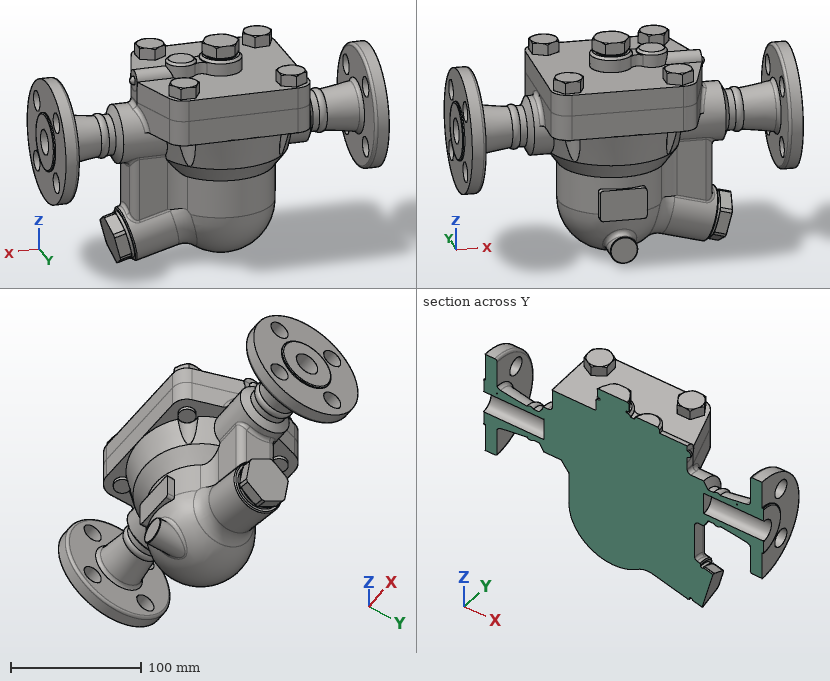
import cadquery as cq
import math


connection_mid_x = 10.0
end_to_end = 264.0
pipe_radius = 16.0
bore_diameter = 20.0
boss_radius = 23.0
boss_end = 75.5
boss_taper = 4.0
bead_start, bead_end, bead_height = 84.8, 91.0, 1.4
hub_radius = 19.6
hub_end = 115.8
hub_hollow = 0.2
hub_root_radius = 22.0
flange_radius = 49.0
flange_back = 119.0
flange_edge_round = 2.3
raised_face_radius, raised_face_height = 23.0, 1.6
raised_face_chamfer_height, raised_face_chamfer_width = 0.6, 1.0
flange_hole_diameter = 16.0
flange_hole_circle = 70.0
flange_hole_count = 4

plate_half_width = 57.5
plate_corner_radius = 13.5
plate_nose_x = 70.0
plate_nose_angle = 18.0
plate_bottom, plate_joint, plate_top = 7.0, 27.0, 44.0
boss_flare_radius = 3.5

bolt_offset = 43.2
bolt_head_across_flats, bolt_head_height = 21.0, 9.5
hexagon_chamfer = 0.9
bolt_end_diameter, bolt_end_length = 14.0, 3.0
bolt_groove_radius = 9.0
bolt_turns = {(-1, -1): 5, (1, -1): 92, (1, 1): 0, (-1, 1): 92}

plug_neck_radius = 12.5
collar_radius, fitting_top, fitting_chamfer = 16.5, 56.0, 2.0
plug_across_flats, plug_bottom, plug_top = 26.0, 57.0, 67.0
side_fitting_x, side_fitting_radius = 32.0, 12.0
link_blend_radius, link_top = 6.0, 53.3
rib_radius, rib_axis_z = 8.4, 42.3
ball_radius = 3.4

chamber_radius, chamber_centre_z = 42.0, -63.0
neck_radius, neck_bottom, neck_cone_bottom = 52.0, -19.0, -32.5
name_pad_width, name_pad_height, name_pad_centre_z = 37.0, 25.0, -54.5
name_pad_front, name_pad_corner = 44.0, 2.5
drain_radius, drain_z, drain_end, drain_chamfer, drain_fillet = 10.8, -91.3, 45.5, 0.5, 3.5

arm_tilt = 15.0
arm_radius, arm_length, arm_chamfer = 22.0, 80.0, 1.0
chamber_blend_radius = 17.0
gasket_radius, gasket_end = 19.0, 82.5
arm_plug_across_flats, arm_plug_corner_radius, arm_plug_end = 36.0, 20.0, 92.2
web_half_width, web_end, web_corner_radius, web_fillet = 17.0, 77.0, 6.0, 3.0

tolerance = 0.01
end_margin = 1.0


def cylinder(radius, bottom, top, x=0.0, y=0.0):
    """Upright cylinder between two heights."""
    return cq.Workplane("XY", origin=(x, y, bottom)).circle(radius).extrude(top - bottom)


def hexagon_head(across_flats, height, chamfer_drop, both_ends=False):
    """Hexagon prism on Z=0 with vertices on X and turned-off corners."""
    corner_radius = across_flats / math.sqrt(3)
    blank = cylinder(corner_radius, 0, height)
    chamfer_reach = chamfer_drop * math.sqrt(3)
    blank = blank.faces(">Z").chamfer(chamfer_drop, chamfer_reach)
    if both_ends:
        blank = blank.faces("<Z").chamfer(chamfer_drop, chamfer_reach)
    prism = cq.Workplane("XY").polygon(6, 2 * corner_radius).extrude(height)
    return prism.intersect(blank)


def pipe_connection():
    """Right-hand flanged connection, turned about the pipe axis."""
    face = end_to_end / 2
    rim = face - raised_face_height
    bead_mid = (bead_start + bead_end) / 2
    hub_mid = (bead_end + hub_end) / 2
    hub_mid_radius = (pipe_radius + hub_radius) / 2 - hub_hollow
    profile = (
        cq.Workplane("XY")
        .moveTo(0, 0)
        .lineTo(0, boss_radius)
        .lineTo(boss_end, boss_radius)
        .lineTo(boss_end + boss_taper, pipe_radius)
        .lineTo(bead_start, pipe_radius)
        .threePointArc((bead_mid, pipe_radius + bead_height), (bead_end, pipe_radius))
        .threePointArc((hub_mid, hub_mid_radius), (hub_end, hub_radius))
        .tangentArcPoint((flange_back, hub_root_radius), relative=False)
        .lineTo(flange_back, flange_radius - flange_edge_round)
        .radiusArc((flange_back + flange_edge_round, flange_radius), flange_edge_round)
        .lineTo(rim, flange_radius)
        .lineTo(rim, raised_face_radius)
        .lineTo(face - raised_face_chamfer_height, raised_face_radius)
        .lineTo(face, raised_face_radius - raised_face_chamfer_width)
        .lineTo(face, 0)
        .close()
    )
    connection = profile.revolve(360, (0, 0, 0), (1, 0, 0))
    holes = (
        cq.Workplane("YZ", origin=(flange_back, 0, 0))
        .polarArray(flange_hole_circle / 2, 45, 360, flange_hole_count)
        .circle(flange_hole_diameter / 2)
        .extrude(face - flange_back)
    )
    bore = (
        cq.Workplane("YZ", origin=(boss_end, 0, 0))
        .circle(bore_diameter / 2)
        .extrude(face - boss_end)
    )
    return connection.cut(holes).cut(bore)


def plate(bottom, top):
    """Square plate with round corners and a tapering nose on +X."""
    centre = plate_half_width - plate_corner_radius
    angle = math.radians(plate_nose_angle)
    tangent_x = centre + plate_corner_radius * math.cos(angle)
    tangent_y = centre + plate_corner_radius * math.sin(angle)
    nose_y = tangent_y - (plate_nose_x - tangent_x) / math.tan(angle)
    w, r = plate_half_width, plate_corner_radius
    return (
        cq.Workplane("XY", origin=(0, 0, bottom))
        .moveTo(-centre, -w)
        .lineTo(centre, -w)
        .radiusArc((tangent_x, -tangent_y), -r)
        .lineTo(plate_nose_x, -nose_y)
        .lineTo(plate_nose_x, nose_y)
        .lineTo(tangent_x, tangent_y)
        .radiusArc((centre, w), -r)
        .lineTo(-centre, w)
        .radiusArc((-w, centre), -r)
        .lineTo(-w, -centre)
        .radiusArc((-centre, -w), -r)
        .close()
        .extrude(top - bottom)
    )


def body_plate():
    """Lower plate, flared where the pipe bosses leave it."""
    boss = (
        cq.Workplane("YZ", origin=(connection_mid_x - boss_end, 0, 0))
        .circle(boss_radius)
        .extrude(2 * boss_end)
    )
    above_plate_bottom = cq.Workplane("XY", origin=(0, 0, plate_bottom)).box(
        4 * boss_end, 4 * boss_end, 2 * boss_end, centered=(True, True, False))
    joined = plate(plate_bottom, plate_joint).union(boss.intersect(above_plate_bottom))

    def on_boss_root(edge):
        middle = edge.positionAt(0.5)
        on_cylinder = abs(math.hypot(middle.y, middle.z) - boss_radius) < tolerance
        inside_ends = abs(middle.x - connection_mid_x) < boss_end - end_margin
        return on_cylinder and inside_ends and middle.z > plate_bottom + tolerance

    return joined.edges().filter(on_boss_root).fillet(boss_flare_radius)


def chamber():
    """Neck, cylindrical body and round bottom, with the drain boss."""
    turned = (
        cq.Workplane("XZ")
        .moveTo(0, plate_bottom)
        .lineTo(plate_half_width, plate_bottom)
        .lineTo(neck_radius, neck_bottom)
        .lineTo(chamber_radius, neck_cone_bottom)
        .lineTo(chamber_radius, chamber_centre_z)
        .radiusArc((0, chamber_centre_z - chamber_radius), chamber_radius)
        .close()
        .revolve(360, (0, 0, 0), (0, 1, 0))
    )
    for side_x, side_y in bolt_turns:
        groove = cylinder(bolt_groove_radius, neck_cone_bottom, plate_bottom,
                          side_x * bolt_offset, side_y * bolt_offset)
        turned = turned.cut(groove)
    drain = (
        cq.Workplane("XZ", origin=(0, 0, drain_z))
        .circle(drain_radius)
        .extrude(drain_end)
        .faces("<Y")
        .chamfer(drain_chamfer)
    )
    joined = turned.union(drain)

    def on_drain_root(edge):
        middle = edge.positionAt(0.5)
        on_drain = abs(math.hypot(middle.x, middle.z - drain_z) - drain_radius) < tolerance
        return on_drain and -drain_end + end_margin < middle.y < 0 and edge.geomType() != "LINE"

    return joined.edges().filter(on_drain_root).fillet(drain_fillet)


def name_pad():
    """Flat rectangular pad on the front of the cylindrical body."""
    return (
        cq.Workplane("XZ", origin=(0, 0, name_pad_centre_z))
        .rect(name_pad_width, name_pad_height)
        .extrude(name_pad_front)
        .edges("|Y")
        .fillet(name_pad_corner)
    )


def cover_bolts():
    """Heads above the cover and shank ends below the plate."""
    bolts = []
    for (side_x, side_y), turn in bolt_turns.items():
        x, y = side_x * bolt_offset, side_y * bolt_offset
        head = hexagon_head(bolt_head_across_flats, bolt_head_height, hexagon_chamfer)
        bolts.append(head.rotate((0, 0, 0), (0, 0, 1), turn).translate((x, y, plate_top)))
        bolts.append(cylinder(bolt_end_diameter / 2, plate_bottom - bolt_end_length, plate_bottom, x, y))
    return bolts


def fitting_link():
    """Waisted link whose sides are arcs tangent to the collar and the side fitting."""
    collar_reach = collar_radius + link_blend_radius
    side_reach = side_fitting_radius + link_blend_radius
    centre_x = (collar_reach**2 - side_reach**2 + side_fitting_x**2) / (2 * side_fitting_x)
    centre_y = math.sqrt(collar_reach**2 - centre_x**2)
    collar_share = collar_radius / collar_reach
    side_share = side_fitting_radius / side_reach
    collar_x, collar_y = centre_x * collar_share, centre_y * collar_share
    side_x = side_fitting_x + (centre_x - side_fitting_x) * side_share
    side_y = centre_y * side_share
    waist_y = centre_y - link_blend_radius
    return (
        cq.Workplane("XY", origin=(0, 0, plate_top))
        .moveTo(0, 0)
        .lineTo(collar_x, -collar_y)
        .threePointArc((centre_x, -waist_y), (side_x, -side_y))
        .lineTo(side_fitting_x, 0)
        .lineTo(side_x, side_y)
        .threePointArc((centre_x, waist_y), (collar_x, collar_y))
        .close()
        .extrude(link_top - plate_top)
    )


def cover_fittings():
    """Collar with its hexagon plug, side fitting, and the rib to the nose."""
    collar = cylinder(collar_radius, plate_top, fitting_top).faces(">Z").chamfer(fitting_chamfer)
    side = cylinder(side_fitting_radius, plate_top, fitting_top, side_fitting_x)
    side = side.faces(">Z").chamfer(fitting_chamfer)
    neck = cylinder(plug_neck_radius, fitting_top, plug_bottom)
    head = hexagon_head(plug_across_flats, plug_top - plug_bottom, hexagon_chamfer, both_ends=True)
    head = head.translate((0, 0, plug_bottom))
    rib = (
        cq.Workplane("YZ", origin=(side_fitting_x, 0, rib_axis_z))
        .circle(rib_radius)
        .extrude(plate_nose_x - side_fitting_x)
    )
    ball = cq.Workplane("XY").sphere(ball_radius).translate((plate_nose_x, 0, rib_axis_z))
    return collar.union(side).union(fitting_link()).union(neck).union(head).union(rib).union(ball)


def along_arm(shape):
    """Move a shape built along +X from the origin onto the arm axis."""
    return shape.rotate((0, 0, 0), (0, 1, 0), arm_tilt).translate((0, 0, chamber_centre_z))


def arm_cylinder():
    """Straight part of the arm, from the chamber centre."""
    straight = cq.Workplane("YZ").circle(arm_radius).extrude(arm_length)
    return along_arm(straight.faces(">X").chamfer(arm_chamfer))


def arm_blend():
    """Flared root of the arm, tangent to the round bottom and to the arm."""
    centre_r = arm_radius + chamber_blend_radius
    reach = chamber_radius + chamber_blend_radius
    centre_x = math.sqrt(reach**2 - centre_r**2)
    share = chamber_radius / reach
    profile = (
        cq.Workplane("XY")
        .moveTo(0, 0)
        .lineTo(centre_x * share, centre_r * share)
        .radiusArc((centre_x, arm_radius), -chamber_blend_radius)
        .lineTo(centre_x, 0)
        .close()
    )
    return along_arm(profile.revolve(360, (0, 0, 0), (1, 0, 0)))


def arm_plug():
    """Hexagon plug with its gasket, closing the end of the arm."""
    gasket = cq.Workplane("YZ").circle(gasket_radius).extrude(gasket_end)
    prism = (
        cq.Workplane("YZ", origin=(gasket_end, 0, 0))
        .transformed(rotate=(0, 0, 90))
        .polygon(6, 2 * arm_plug_across_flats / math.sqrt(3))
        .extrude(arm_plug_end - gasket_end)
    )
    blank = cq.Workplane("YZ").circle(arm_plug_corner_radius).extrude(arm_plug_end)
    return along_arm(gasket.union(prism.intersect(blank)))


def arm_with_web():
    """Arm joined by a filleted web to the outlet boss above it."""
    drop = math.tan(math.radians(arm_tilt))
    start = chamber_radius - web_half_width
    web = (
        cq.Workplane("XZ", origin=(0, web_half_width, 0))
        .moveTo(start, 0)
        .lineTo(web_end, 0)
        .lineTo(web_end, chamber_centre_z - web_end * drop)
        .lineTo(start, chamber_centre_z - start * drop)
        .close()
        .extrude(2 * web_half_width)
        .edges("|Z and >X")
        .fillet(web_corner_radius)
    )
    boss = cq.Workplane("YZ").circle(boss_radius).extrude(connection_mid_x + boss_end)
    joined = web.union(arm_cylinder()).union(boss)
    tilt = math.radians(arm_tilt)

    def on_web_root(edge):
        middle = edge.positionAt(0.5)
        height = middle.z - chamber_centre_z
        across_arm = middle.x * math.sin(tilt) + height * math.cos(tilt)
        on_arm = abs(math.hypot(middle.y, across_arm) - arm_radius) < tolerance
        on_boss = abs(math.hypot(middle.y, middle.z) - boss_radius) < tolerance
        along_web = start + end_margin < middle.x < web_end + tolerance
        on_web = along_web and abs(middle.y) < web_half_width + tolerance
        at_root = chamber_centre_z - arm_radius < middle.z < -boss_radius / 2
        return (on_arm or on_boss) and on_web and at_root

    return joined.edges().filter(on_web_root).fillet(web_fillet)


def web_columns():
    """Concave blends between the cylindrical body and the web sides."""
    reach = chamber_radius + chamber_blend_radius
    centre_y = web_half_width + chamber_blend_radius
    centre_x = math.sqrt(reach**2 - centre_y**2)
    share = chamber_radius / reach
    tangent_x, tangent_y = centre_x * share, centre_y * share
    return (
        cq.Workplane("XY", origin=(0, 0, chamber_centre_z))
        .moveTo(0, 0)
        .lineTo(tangent_x, -tangent_y)
        .radiusArc((centre_x, -web_half_width), chamber_blend_radius)
        .lineTo(centre_x, web_half_width)
        .radiusArc((tangent_x, tangent_y), chamber_blend_radius)
        .close()
        .extrude(-chamber_centre_z)
    )


outlet = pipe_connection().translate((connection_mid_x, 0, 0))
inlet = outlet.mirror("YZ", (connection_mid_x, 0, 0))

body = chamber()
for portion in (body_plate(), name_pad(), web_columns(), arm_with_web(), arm_blend(), inlet, outlet):
    body = body.union(portion)

result = body
for portion in (plate(plate_joint, plate_top), arm_plug(), cover_fittings(), *cover_bolts()):
    result = result.union(portion, clean=False)